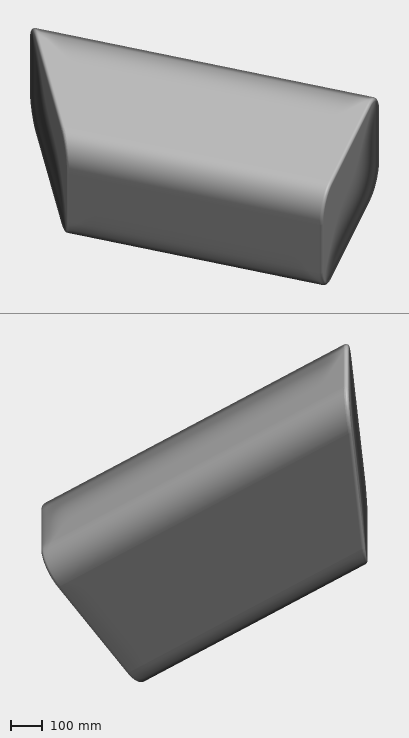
import cadquery as cq
import math

length = 1158.0
width = 600.0
height = 400.0
corner_radius = 100.0
edge_round = 10.0
slant_angle = 28.0

tilt = math.radians(slant_angle)
tip_setback = edge_round * (1 / math.cos(tilt) + math.tan(tilt) - 1)
sharp_length = length + tip_setback
slant_run = width * math.tan(tilt)

right_x = length / 2
left_x = right_x - sharp_length
plan = [
    (left_x, width / 2),
    (right_x, width / 2),
    (right_x, -width / 2),
    (left_x + slant_run, -width / 2),
]
body = cq.Workplane("XY").polyline(plan).close().extrude(height / 2, both=True)

body = body.edges("|X").fillet(corner_radius)
result = body.faces("<X or >X").edges().fillet(edge_round)